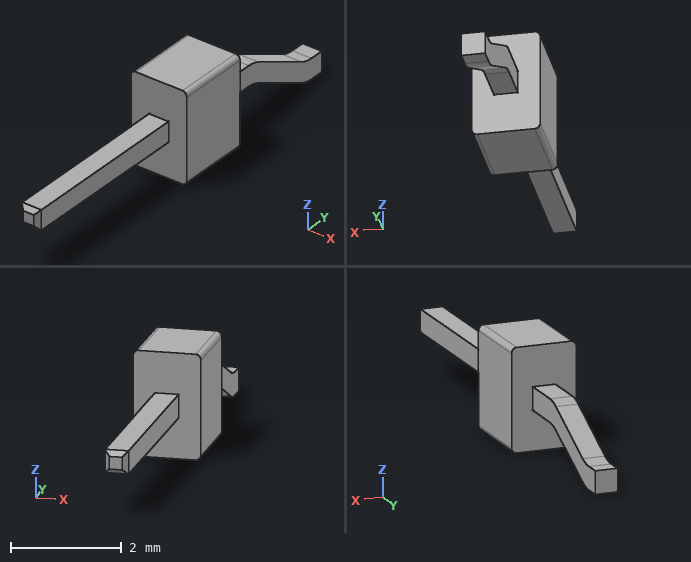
import cadquery as cq

housing_width = 1.27
housing_length = 1.6
housing_height = 2.0
housing_corner_radius = 0.1

overall_length = 8.5
pin_side = 0.44
front_reach = 3.9
tip_inset = 0.1
tip_length = 0.09

foot_thickness = 0.45
foot_corner = 0.47
shoulder_corner = 2.03
bend_radius = 0.66

half_pin = pin_side / 2
housing_front = -housing_length / 2
housing_back = housing_length / 2
pin_front = housing_front - front_reach
foot_end = pin_front + overall_length
foot_bottom = -housing_height / 2
foot_top = foot_bottom + foot_thickness
shoulder_bottom = half_pin - foot_thickness
foot_bend_y = foot_end - foot_corner
shoulder_bend_y = foot_end - shoulder_corner


def make_straight_pin():
    """Square pin from its pointed tip to the back face of the housing."""
    tip_base = pin_front + tip_length
    tip_side = pin_side - 2 * tip_inset
    shaft = cq.Workplane("XY").box(
        pin_side, housing_back - tip_base, pin_side, centered=(True, False, True)
    ).translate((0, tip_base, 0))
    tip = (
        cq.Workplane("XZ", origin=(0, tip_base, 0))
        .rect(pin_side, pin_side)
        .workplane(offset=tip_length)
        .rect(tip_side, tip_side)
        .loft(ruled=True)
    )
    return shaft.union(tip)


def make_tail():
    """Side profile of the bent tail, extruded across the pin width and rounded at the bends."""
    profile = [
        (housing_back, half_pin),
        (shoulder_bend_y, half_pin),
        (foot_bend_y, foot_top),
        (foot_end, foot_top),
        (foot_end, foot_bottom),
        (foot_bend_y, foot_bottom),
        (shoulder_bend_y, shoulder_bottom),
        (housing_back, -half_pin),
    ]
    tail = cq.Workplane("YZ").polyline(profile).close().extrude(half_pin, both=True)
    edge_margin = 0.04
    bends = cq.selectors.BoxSelector(
        (-pin_side, shoulder_bend_y - edge_margin, -housing_height),
        (pin_side, foot_bend_y + edge_margin, housing_height),
    )
    return tail.edges("|X").edges(bends).fillet(bend_radius)


def make_pin():
    return make_straight_pin().union(make_tail())


def make_housing():
    """Block rounded along its four long edges, with a square through hole for the pin."""
    block = (
        cq.Workplane("XY")
        .box(housing_width, housing_length, housing_height)
        .edges("|Y")
        .fillet(housing_corner_radius)
    )
    pin_hole = cq.Workplane("XY").box(pin_side, housing_length, pin_side)
    return block.cut(pin_hole)


housing = make_housing()
pin = make_pin()
result = cq.Compound.makeCompound([housing.val(), *pin.solids().vals()])